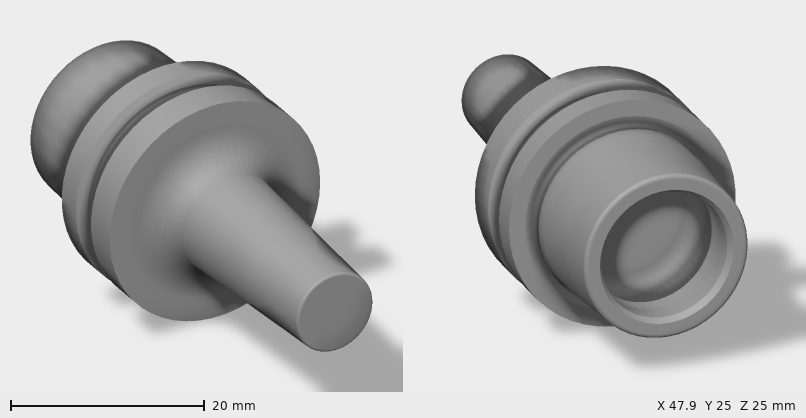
import cadquery as cq
import math


OVERALL_LENGTH = 47.9

TAPER_LENGTH = 11.9
TAPER_END_RADIUS = 9.65
TAPER_SLOPE = 0.05
TAPER_RIM_ROUND = 0.5

RELIEF_RADIUS = 9.45
RELIEF_RAMP_ANGLE = 30.0
RELIEF_ROUND = 0.45
RECESS_RADIUS = 10.7
RECESS_ANGLE = 20.0

FLANGE_FRONT = 12.9
FLANGE_BACK = 22.85
FLANGE_RADIUS = 12.5
GROOVE_START = 15.8
GROOVE_WIDTH = 3.15
GROOVE_FLANK_DEPTH = 1.0
GROOVE_FLOOR_RADIUS = 11.0
GROOVE_FLANK_ANGLE = 60.0
GROOVE_ROUND = 0.25

NECK_ROUND = 3.98
NOSE_TIP_RADIUS = 4.5
NOSE_HALF_ANGLE = 3.0
NOSE_TIP_ROUND = 0.3

BORE_RADIUS = 6.95
BORE_CHAMFER_DEPTH = 0.45
BORE_CHAMFER_ANGLE = 30.0
LIP_END = 5.2
CAVITY_RADIUS = 8.5
CAVITY_RAMP_ANGLE = 60.0
CAVITY_DEPTH = 12.45
CAVITY_FLOOR_ROUND = 1.8


def tangent(degrees):
    return math.tan(math.radians(degrees))


def corner_arc(before, corner, after, radius):
    """Start, middle and end of the arc that rounds a corner of an outline."""
    corner = cq.Vector(*corner)
    back = (cq.Vector(*before) - corner).normalized()
    ahead = (cq.Vector(*after) - corner).normalized()
    half_angle = back.getAngle(ahead) / 2
    setback = radius / math.tan(half_angle)
    middle_distance = radius / math.sin(half_angle) - radius
    middle = corner + (back + ahead).normalized() * middle_distance
    arc = (corner + back * setback, middle, corner + ahead * setback)
    return [point.toTuple()[:2] for point in arc]


def turned_solid(outline):
    """Revolve about X a closed outline of (x, radius, corner rounding) points.

    The first point must be a sharp corner.
    """
    points = [(x, r) for x, r, _ in outline]
    profile = cq.Workplane("XY").moveTo(*points[0])
    for i in range(1, len(outline)):
        rounding = outline[i][2]
        if rounding:
            following = points[(i + 1) % len(points)]
            start, middle, end = corner_arc(points[i - 1], points[i], following, rounding)
            profile = profile.lineTo(*start).threePointArc(middle, end)
        else:
            profile = profile.lineTo(*points[i])
    return profile.close().revolve(360, (0, 0, 0), (1, 0, 0))


def holder_body():
    mouth_radius = TAPER_END_RADIUS - TAPER_SLOPE * TAPER_LENGTH
    relief_start = TAPER_LENGTH + (TAPER_END_RADIUS - RELIEF_RADIUS) / tangent(RELIEF_RAMP_ANGLE)
    relief_end = FLANGE_FRONT + (RECESS_RADIUS - RELIEF_RADIUS) * tangent(RECESS_ANGLE)
    groove_end = GROOVE_START + GROOVE_WIDTH
    flank_length = GROOVE_FLANK_DEPTH / tangent(GROOVE_FLANK_ANGLE)
    flank_foot_radius = FLANGE_RADIUS - GROOVE_FLANK_DEPTH
    first_wall = GROOVE_START + flank_length
    second_wall = groove_end - flank_length
    nose_root_radius = NOSE_TIP_RADIUS + (OVERALL_LENGTH - FLANGE_BACK) * tangent(NOSE_HALF_ANGLE)
    return turned_solid([
        (0, 0, 0),
        (0, mouth_radius, TAPER_RIM_ROUND),
        (TAPER_LENGTH, TAPER_END_RADIUS, 0),
        (relief_start, RELIEF_RADIUS, RELIEF_ROUND),
        (relief_end, RELIEF_RADIUS, RELIEF_ROUND),
        (FLANGE_FRONT, RECESS_RADIUS, 0),
        (FLANGE_FRONT, FLANGE_RADIUS, 0),
        (GROOVE_START, FLANGE_RADIUS, 0),
        (first_wall, flank_foot_radius, 0),
        (first_wall, GROOVE_FLOOR_RADIUS, GROOVE_ROUND),
        (second_wall, GROOVE_FLOOR_RADIUS, GROOVE_ROUND),
        (second_wall, flank_foot_radius, 0),
        (groove_end, FLANGE_RADIUS, 0),
        (FLANGE_BACK, FLANGE_RADIUS, 0),
        (FLANGE_BACK, nose_root_radius, NECK_ROUND),
        (OVERALL_LENGTH, NOSE_TIP_RADIUS, NOSE_TIP_ROUND),
        (OVERALL_LENGTH, 0, 0),
    ])


def clamping_bore():
    chamfer_length = BORE_CHAMFER_DEPTH / tangent(BORE_CHAMFER_ANGLE)
    cavity_start = LIP_END + (CAVITY_RADIUS - BORE_RADIUS) / tangent(CAVITY_RAMP_ANGLE)
    return turned_solid([
        (0, 0, 0),
        (0, BORE_RADIUS + BORE_CHAMFER_DEPTH, 0),
        (chamfer_length, BORE_RADIUS, 0),
        (LIP_END, BORE_RADIUS, 0),
        (cavity_start, CAVITY_RADIUS, 0),
        (CAVITY_DEPTH, CAVITY_RADIUS, CAVITY_FLOOR_ROUND),
        (CAVITY_DEPTH, 0, 0),
    ])


result = holder_body().cut(clamping_bore())